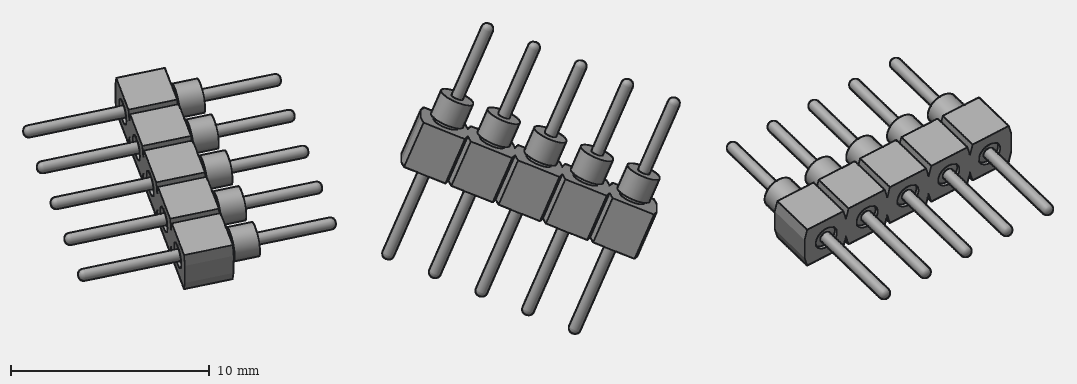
import cadquery as cq
import math

PIN_COUNT = 5
HOUSING_LENGTH = 12.9
HOUSING_HEIGHT = 2.55
HOUSING_DEPTH = 2.55
BEVEL_RUN = 0.16
BEVEL_DROP = HOUSING_HEIGHT / 4
CELL_WIDTH = HOUSING_LENGTH / PIN_COUNT

PIN_PITCH = 2.55
WIRE_RADIUS = 0.63 / 2
BARREL_RADIUS = 1.32 / 2
COLLAR_RADIUS = 1.78 / 2
TIP_ROUNDING = 0.28

PIN_LENGTH = 13.46
FRONT_TIP_Y = -5.2
REAR_TIP_Y = FRONT_TIP_Y + PIN_LENGTH
CONE_RECESS = 0.1
CONE_LENGTH = 0.1
CONE_END_Y = CONE_RECESS + CONE_LENGTH
STANDOFF = 0.2
COLLAR_LENGTH = 1.32
COLLAR_FRONT_Y = HOUSING_DEPTH + STANDOFF
COLLAR_REAR_Y = COLLAR_FRONT_Y + COLLAR_LENGTH

pin_positions = [(i - (PIN_COUNT - 1) / 2) * PIN_PITCH for i in range(PIN_COUNT)]


def upper_edge():
    """Points of the housing's upper edge, left to right, with a V notch between cells."""
    top = HOUSING_HEIGHT / 2
    shoulder = top - BEVEL_DROP
    points = [(-HOUSING_LENGTH / 2, shoulder)]
    for i in range(PIN_COUNT):
        left = -HOUSING_LENGTH / 2 + i * CELL_WIDTH
        right = left + CELL_WIDTH
        points += [(left + BEVEL_RUN, top), (right - BEVEL_RUN, top), (right, shoulder)]
    return points


def make_housing():
    """Notched bar with one straight through hole per pin."""
    upper = upper_edge()
    lower = [(x, -z) for x, z in reversed(upper)]
    bar = cq.Workplane("XZ").polyline(upper + lower).close().extrude(-HOUSING_DEPTH)
    holes = (
        cq.Workplane("XZ")
        .pushPoints([(x, 0) for x in pin_positions])
        .circle(BARREL_RADIUS)
        .extrude(-HOUSING_DEPTH)
    )
    return bar.cut(holes)


def make_pin(x):
    """Turned pin: rounded wire ends, cone, barrel and collar."""
    tip_flat = WIRE_RADIUS - TIP_ROUNDING
    arc_offset = TIP_ROUNDING * math.sqrt(0.5)
    arc_mid_radius = tip_flat + arc_offset
    front_arc_y = FRONT_TIP_Y + TIP_ROUNDING
    rear_arc_y = REAR_TIP_Y - TIP_ROUNDING
    half_profile = (
        cq.Workplane("XY")
        .moveTo(0, FRONT_TIP_Y)
        .lineTo(tip_flat, FRONT_TIP_Y)
        .threePointArc((arc_mid_radius, front_arc_y - arc_offset), (WIRE_RADIUS, front_arc_y))
        .lineTo(WIRE_RADIUS, CONE_RECESS)
        .lineTo(BARREL_RADIUS, CONE_END_Y)
        .lineTo(BARREL_RADIUS, COLLAR_FRONT_Y)
        .lineTo(COLLAR_RADIUS, COLLAR_FRONT_Y)
        .lineTo(COLLAR_RADIUS, COLLAR_REAR_Y)
        .lineTo(WIRE_RADIUS, COLLAR_REAR_Y)
        .lineTo(WIRE_RADIUS, rear_arc_y)
        .threePointArc((arc_mid_radius, rear_arc_y + arc_offset), (tip_flat, REAR_TIP_Y))
        .lineTo(0, REAR_TIP_Y)
        .close()
    )
    return half_profile.revolve(360, (0, 0, 0), (0, 1, 0)).translate((x, 0, 0))


housing = make_housing()
pins = [make_pin(x) for x in pin_positions]

result = cq.Compound.makeCompound([housing.val(), *[pin.val() for pin in pins]])